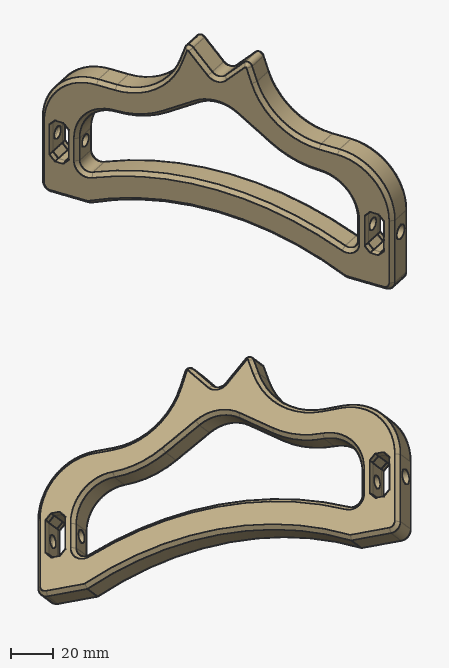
import cadquery as cq
import math

WIDTH = 190.01
THICKNESS = 15.0
HEIGHT = 102.32
EDGE_CHAMFER = 2.0

HALF_WIDTH = WIDTH / 2
SIDE_WALL = 20.0
BAND_WIDTH = 15.0
CORNER_RADIUS = 5.0
SHOULDER_HEIGHT = 69.0
SHOULDER_RADIUS = 30.0
SHOULDER_FLAT_END = -55.0
NECK_RADIUS = 36.5

BAR_ARC_RADIUS = 165.0
BAR_ARC_RISE = 15.2
BAR_WIDTH = 15.3

PEAK_X = -15.6
PEAK_RADIUS = 2.5
NOTCH_RADIUS = 5.0
NOTCH_ANGLE = 45.0

OPENING_CORNER_RADIUS = 20.0
OPENING_TOP_RADIUS = 20.0
OPENING_TOP = 75.4

SLOT_X = 85.0
SLOT_Z = 29.6
SLOT_WIDTH = 10.0
SLOT_HEIGHT = 22.0
SLOT_CORNER = 3.0
SLOT_TAPER_DEPTH = 3.0
SLOT_TAPER = 0.2

HOLE_DIAMETER = 6.35
HOLE_TAPER_DEPTH = 3.0
HOLE_TAPER = 0.5


def on_circle(center, radius, degrees):
    """Point of a circle at an angle measured from +X toward +Z."""
    angle = math.radians(degrees)
    return (center[0] + radius * math.cos(angle), center[1] + radius * math.sin(angle))


def crossing_tangent(center_a, radius_a, center_b, radius_b):
    """Normal angles (degrees) on circles A and B of the rising line that passes between them."""
    dx = center_b[0] - center_a[0]
    dz = center_b[1] - center_a[1]
    toward_b = math.degrees(math.atan2(dz, dx))
    swing = math.degrees(math.acos((radius_a + radius_b) / math.hypot(dx, dz)))
    normal_a = toward_b - swing
    return normal_a, normal_a + 180.0


def arc(path, center, radius, start, end):
    """Extend a path along a circle from one angle to another."""
    middle = on_circle(center, radius, (start + end) / 2)
    return path.threePointArc(middle, on_circle(center, radius, end))


def extrude_and_mirror(half_path):
    """Close a left-half outline on the X = 0 plane, extrude it and add its mirror image."""
    half = half_path.close().extrude(THICKNESS / 2, both=True)
    return half.union(half.mirror("YZ")).clean()


bar_center = (0.0, BAR_ARC_RISE - BAR_ARC_RADIUS)
neck_center = (SHOULDER_FLAT_END, SHOULDER_HEIGHT + NECK_RADIUS)


def make_plate():
    """Solid plate with the outer outline."""
    bar_end_x = -math.sqrt(BAR_ARC_RADIUS**2 - bar_center[1] ** 2)
    bar_end_angle = math.degrees(math.atan2(-bar_center[1], bar_end_x))
    corner_center = (-HALF_WIDTH + CORNER_RADIUS, CORNER_RADIUS)
    shoulder_center = (-HALF_WIDTH + SHOULDER_RADIUS, SHOULDER_HEIGHT - SHOULDER_RADIUS)
    peak_center = (PEAK_X, HEIGHT - PEAK_RADIUS)
    notch_drop = (PEAK_RADIUS + NOTCH_RADIUS) / math.cos(math.radians(NOTCH_ANGLE))
    notch_slope = math.tan(math.radians(NOTCH_ANGLE))
    notch_center = (0.0, peak_center[1] + PEAK_X * notch_slope + notch_drop)
    neck_end, peak_start = crossing_tangent(neck_center, NECK_RADIUS, peak_center, PEAK_RADIUS)
    peak_end = 90.0 - NOTCH_ANGLE

    path = cq.Workplane("XZ").moveTo(0, BAR_ARC_RISE)
    path = arc(path, bar_center, BAR_ARC_RADIUS, 90, bar_end_angle)
    path = path.lineTo(corner_center[0], 0)
    path = arc(path, corner_center, CORNER_RADIUS, 270, 180)
    path = path.lineTo(-HALF_WIDTH, shoulder_center[1])
    path = arc(path, shoulder_center, SHOULDER_RADIUS, 180, 90)
    path = path.lineTo(SHOULDER_FLAT_END, SHOULDER_HEIGHT)
    path = arc(path, neck_center, NECK_RADIUS, -90, neck_end)
    path = path.lineTo(*on_circle(peak_center, PEAK_RADIUS, peak_start))
    path = arc(path, peak_center, PEAK_RADIUS, peak_start, peak_end)
    path = path.lineTo(*on_circle(notch_center, NOTCH_RADIUS, peak_end - 180))
    path = arc(path, notch_center, NOTCH_RADIUS, peak_end - 180, -90)
    return extrude_and_mirror(path)


def make_opening():
    """Solid that fills the central opening."""
    bar_top_radius = BAR_ARC_RADIUS + BAR_WIDTH
    left = -HALF_WIDTH + SIDE_WALL
    low_x = left + CORNER_RADIUS
    low_reach = bar_top_radius + CORNER_RADIUS
    low_center = (low_x, bar_center[1] + math.sqrt(low_reach**2 - low_x**2))
    low_angle = math.degrees(math.atan2(low_center[1] - bar_center[1], low_x))
    high_center = (
        left + OPENING_CORNER_RADIUS,
        SHOULDER_HEIGHT - BAND_WIDTH - OPENING_CORNER_RADIUS,
    )
    neck_radius = NECK_RADIUS + BAND_WIDTH
    top_center = (0.0, OPENING_TOP - OPENING_TOP_RADIUS)
    neck_end, top_start = crossing_tangent(neck_center, neck_radius, top_center, OPENING_TOP_RADIUS)

    path = cq.Workplane("XZ").moveTo(0, BAR_ARC_RISE + BAR_WIDTH)
    path = arc(path, bar_center, bar_top_radius, 90, low_angle)
    path = arc(path, low_center, CORNER_RADIUS, low_angle - 180, -180)
    path = path.lineTo(left, high_center[1])
    path = arc(path, high_center, OPENING_CORNER_RADIUS, 180, 90)
    path = arc(path, neck_center, neck_radius, -90, neck_end)
    path = path.lineTo(*on_circle(top_center, OPENING_TOP_RADIUS, top_start))
    path = arc(path, top_center, OPENING_TOP_RADIUS, top_start, 90)
    return extrude_and_mirror(path)


def make_slot(x):
    """Eight-sided through slot that widens slightly toward both faces."""

    def section(y, growth):
        plane = cq.Workplane("XZ", origin=(x, y, SLOT_Z))
        half_w = SLOT_WIDTH / 2 + growth
        half_h = SLOT_HEIGHT / 2 + growth
        quarter = [(half_w, half_h - SLOT_CORNER), (half_w - SLOT_CORNER, half_h)]
        points = quarter
        points = points + [(-px, pz) for px, pz in reversed(quarter)]
        points = points + [(-px, -pz) for px, pz in quarter]
        points = points + [(px, -pz) for px, pz in reversed(quarter)]
        return plane.polyline(points).close()

    slot = section(THICKNESS / 2, 0).extrude(THICKNESS)
    taper_angle = math.degrees(math.atan2(SLOT_TAPER, SLOT_TAPER_DEPTH))
    front = section(-THICKNESS / 2, SLOT_TAPER).extrude(-SLOT_TAPER_DEPTH, taper=taper_angle)
    return slot.union(front).union(front.mirror("XZ"))


def make_cross_hole(side):
    """Hole along X through one side wall, slightly flared toward the outer face."""
    outer = cq.Workplane("YZ", origin=(side * HALF_WIDTH, 0, SLOT_Z))
    bore = outer.circle(HOLE_DIAMETER / 2).extrude(-side * SIDE_WALL)
    mouth = outer.circle(HOLE_DIAMETER / 2 + HOLE_TAPER)
    taper_angle = math.degrees(math.atan2(HOLE_TAPER, HOLE_TAPER_DEPTH))
    return bore.union(mouth.extrude(-side * HOLE_TAPER_DEPTH, taper=taper_angle))


frame = make_plate().cut(make_opening())
frame = frame.faces("<Y or >Y").chamfer(EDGE_CHAMFER)
for side in (-1, 1):
    frame = frame.cut(make_slot(side * SLOT_X))
    frame = frame.cut(make_cross_hole(side))

result = frame